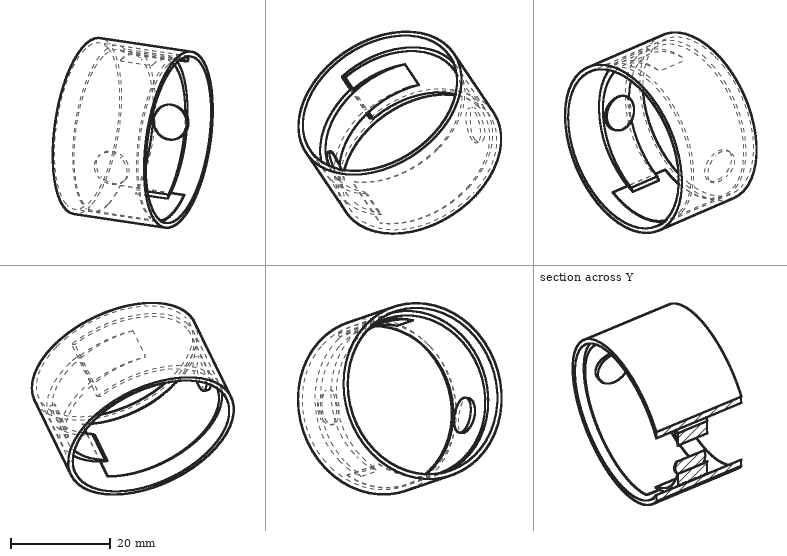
import cadquery as cq
import math

RING_LENGTH = 20.0
RING_OUTER_R = 35.97 / 2
RING_INNER_R = 34.0 / 2

STRIP_INNER_R = 16.47
STRIP_OUTER_R = 17.65
WIDE_CENTER = (0.15, -0.4)
WIDE_X_START = -6.0
WIDE_WIDTH = 14.0
NARROW_CENTER = (-0.97, -0.5)
NARROW_X_START = -2.0
NARROW_WIDTH = 7.0

WIDE_TOP_CORNER = (9.42, 13.25)
WIDE_TOP_END_ANGLE = 28
WIDE_BOTTOM_END_ANGLE = -62.4
NARROW_END_CORNER = (6.9, -14.93)
NARROW_END_ANGLE = 230
WIDE_CUT_REACH = 14.4
NARROW_END_REACH = 3.6

DISC_R = 7.2 / 2
DISC_THICKNESS = 1.0
DISC_X = 2.0
WIDE_DISC_FACE = (-15.3, -1.75)
WIDE_DISC_AXIS_ANGLE = 185
NARROW_DISC_FACE = (14.7, -2.6)
NARROW_DISC_AXIS_ANGLE = -10.3


def polar_offset(point, distance, angle):
    """Point at a distance from another one, along an angle measured from +Y."""
    radians = math.radians(angle)
    return (point[0] + distance * math.cos(radians), point[1] + distance * math.sin(radians))


def make_ring():
    ring = cq.Workplane("YZ", origin=(-RING_LENGTH / 2, 0, 0))
    return ring.circle(RING_OUTER_R).circle(RING_INNER_R).extrude(RING_LENGTH)


def make_strip_loop(center, x_start, width):
    """Full loop of strip, trimmed to the bore of the ring."""
    plane = cq.Workplane("YZ", origin=(x_start, 0, 0))
    loop = plane.center(*center).circle(STRIP_OUTER_R).circle(STRIP_INNER_R).extrude(width)
    bore = plane.circle(RING_INNER_R).extrude(width)
    return loop.intersect(bore)


def make_wide_strip():
    """Loop opened on the +Y side, between a slanted upper end and a radial lower end."""
    loop = make_strip_loop(WIDE_CENTER, WIDE_X_START, WIDE_WIDTH)
    top_outside = polar_offset(WIDE_TOP_CORNER, WIDE_CUT_REACH, WIDE_TOP_END_ANGLE)
    bottom_outside = polar_offset((0, 0), RING_OUTER_R + WIDE_CUT_REACH, WIDE_BOTTOM_END_ANGLE)
    opening_points = [(0, 0), WIDE_TOP_CORNER, top_outside, bottom_outside]
    opening = cq.Workplane("YZ", origin=(WIDE_X_START, 0, 0)).polyline(opening_points).close()
    return loop.cut(opening.extrude(WIDE_WIDTH))


def make_narrow_strip(wide_strip):
    """Strip on the +Y side that tapers out at the top and lies on the wide strip."""
    loop = make_strip_loop(NARROW_CENTER, NARROW_X_START, NARROW_WIDTH)
    end_inside = polar_offset(NARROW_END_CORNER, -NARROW_END_REACH, NARROW_END_ANGLE)
    end_outside = polar_offset(NARROW_END_CORNER, NARROW_END_REACH, NARROW_END_ANGLE)
    past_end_points = [
        end_inside,
        end_outside,
        (-RING_OUTER_R, end_outside[1]),
        (-RING_OUTER_R, end_inside[1]),
    ]
    past_end = cq.Workplane("YZ", origin=(NARROW_X_START, 0, 0)).polyline(past_end_points).close()
    return loop.cut(past_end.extrude(NARROW_WIDTH)).cut(wide_strip)


def make_disc(face_center, axis_angle, strip):
    """Disc with a flat exposed face, its back shaped to the strip behind it."""
    axis = polar_offset((0, 0), 1, axis_angle)
    plane = cq.Plane(origin=(DISC_X, *face_center), xDir=(1, 0, 0), normal=(0, *axis))
    return cq.Workplane(plane).circle(DISC_R).extrude(DISC_THICKNESS).cut(strip)


ring = make_ring()
wide_strip = make_wide_strip()
narrow_strip = make_narrow_strip(wide_strip)
disc_places = [
    (WIDE_DISC_FACE, WIDE_DISC_AXIS_ANGLE, wide_strip),
    (NARROW_DISC_FACE, NARROW_DISC_AXIS_ANGLE, narrow_strip),
]
discs = [make_disc(*place) for place in disc_places]

result = cq.Compound.makeCompound(
    [ring.val(), *wide_strip.vals(), *narrow_strip.vals(), *[disc.val() for disc in discs]]
)